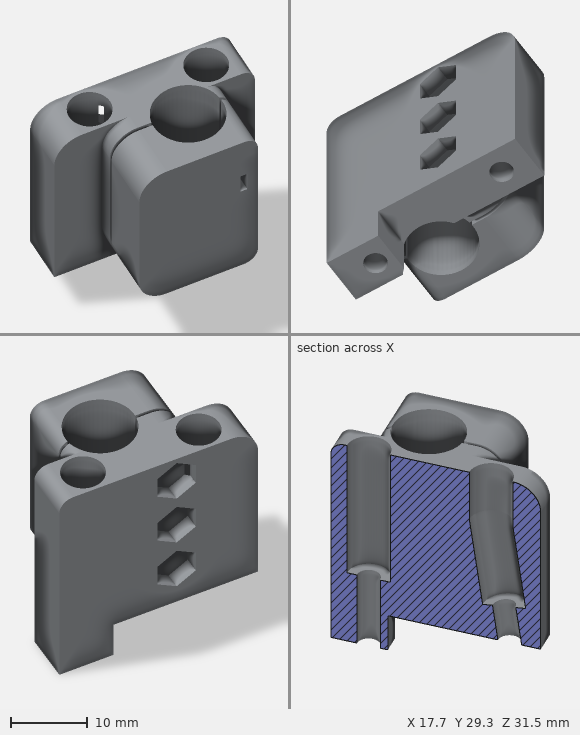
import cadquery as cq
import math

height = 31.5
plate_thickness = 7.0
plate_length = 29.3

step_height = 5.48
foot_length = 8.0
front_radius = 4.0
back_radius = 2.02

clamp_front = 7.0
clamp_back = 24.32
clamp_bottom = 7.5
boss_end = 9.2
cap_start = 9.67
cap_end = 17.7
bore_diameter = 10.02
bore_x = 10.02
bore_y = 18.02

slot_front = 21.77
slot_width = 1.0
slot_top = 25.0
slot_height = 3.0

screw_x = plate_thickness / 2
screw_diameter = 3.2
head_diameter = 6.0
head_floor = 11.02
back_screw_y = 23.97
front_screw_y = 6.93
tilt_start = 23.95
tilt_angle = 8.0

nut_flats = 5.6
nut_depth = 2.27
nut_y = 12.0
nut_pitch = 8.0
nut_count = 3
top_nut_z = height - nut_pitch / 2

cut_margin = 6.3


def plate():
    """L-shaped plate with a foot at the back and rounded upper corners."""
    foot_front = plate_length - foot_length
    back_arc_y = plate_length - back_radius
    front_arc_z = height - front_radius
    back_arc_z = height - back_radius
    diagonal = math.sqrt(0.5)
    return (
        cq.Workplane("YZ")
        .moveTo(0, step_height)
        .lineTo(foot_front, step_height)
        .lineTo(foot_front, 0)
        .lineTo(plate_length, 0)
        .lineTo(plate_length, back_arc_z)
        .threePointArc(
            (back_arc_y + back_radius * diagonal, back_arc_z + back_radius * diagonal),
            (back_arc_y, height),
        )
        .lineTo(front_radius, height)
        .threePointArc(
            (front_radius * (1 - diagonal), front_arc_z + front_radius * diagonal),
            (0, front_arc_z),
        )
        .close()
        .extrude(plate_thickness)
    )


def clamp_block(x_start, x_end):
    """Block with corners rounded about X: large at the front, small at the back."""
    return (
        cq.Workplane("XY")
        .box(x_end - x_start, clamp_back - clamp_front, height - clamp_bottom, centered=False)
        .translate((x_start, clamp_front, clamp_bottom))
        .edges("|X and <Y")
        .fillet(front_radius)
        .edges("|X and >Y")
        .fillet(back_radius)
    )


def shaft_bore():
    """Vertical cutter for the clamped shaft; it also hollows the foot below the clamp."""
    return cq.Workplane("XY").center(bore_x, bore_y).circle(bore_diameter / 2).extrude(height)


def cylinder_between(diameter, y, z_bottom, z_top):
    """Upright cylinder on the middle plane of the plate."""
    return (
        cq.Workplane("XY", origin=(screw_x, y, z_bottom))
        .circle(diameter / 2)
        .extrude(z_top - z_bottom)
    )


def back_screw_hole():
    """Upright counterbored hole that runs out through the foot."""
    shank = cylinder_between(screw_diameter, back_screw_y, 0, height)
    head = cylinder_between(head_diameter, back_screw_y, head_floor, height)
    return shank.union(head)


def front_screw_hole():
    """Counterbored hole that leans forward below an upright entry."""
    entry = cylinder_between(head_diameter, front_screw_y, tilt_start, height)
    shank = cylinder_between(screw_diameter, front_screw_y, -cut_margin, tilt_start)
    head = cylinder_between(head_diameter, front_screw_y, head_floor, height)
    pivot = (screw_x, front_screw_y, tilt_start)
    pivot_end = (screw_x + 0.3, front_screw_y, tilt_start)
    leaning = shank.union(head).rotate(pivot, pivot_end, -tilt_angle)
    below_entry = cylinder_between(2 * head_diameter, front_screw_y, -cut_margin, tilt_start)
    return entry.union(leaning.intersect(below_entry))


def nut_pocket(z):
    """Hexagonal pocket with corners pointing up and down."""
    corner_diameter = nut_flats / math.cos(math.pi / 6)
    return (
        cq.Workplane("YZ", origin=(0, nut_y, z))
        .transformed(rotate=(0, 0, 90))
        .polygon(6, corner_diameter)
        .extrude(nut_depth)
    )


def cap_slot():
    """Rectangular cutter that runs along X from the middle of the bore to the end of the cap."""
    return (
        cq.Workplane("XY")
        .box(cap_end - bore_x, slot_width, slot_height, centered=False)
        .translate((bore_x, slot_front, slot_top - slot_height))
    )


housing = plate().union(clamp_block(plate_thickness, boss_end))
housing = housing.cut(shaft_bore())
housing = housing.cut(back_screw_hole())
housing = housing.cut(front_screw_hole())
for i in range(nut_count):
    housing = housing.cut(nut_pocket(top_nut_z - i * nut_pitch))

cap = clamp_block(cap_start, cap_end).cut(shaft_bore()).cut(cap_slot())

result = cq.Compound.makeCompound([housing.val(), cap.val()])